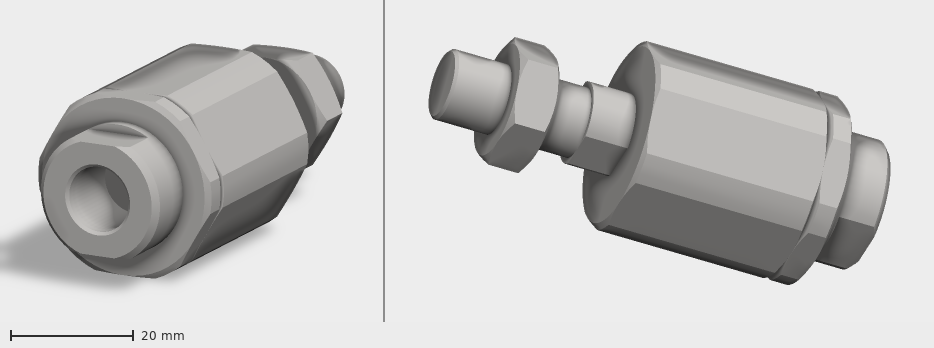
import cadquery as cq
import math


hex_across_flats = 30.0
hex_corner_diameter = 32.0
flange_start = 9.0
housing_groove = 13.3
housing_end = 44.0
hex_chamfer_angle = 30.0

boss_diameter = 22.0
boss_across_flats = 19.0
boss_flat_length = 7.2
boss_chamfer = 1.0
bore_diameter = 11.0
bore_depth = 13.0
bore_chamfer = 0.5

stud_diameter = 12.0
stud_chamfer = 0.5
stud_end = 75.5
collar_diameter = 14.0
collar_across_flats = stud_diameter
collar_length = 7.5

nut_across_flats = 19.0
nut_thickness = 7.0
nut_start = 58.7


def cylinder_y(diameter, start, end):
    """Cylinder on the Y axis between two Y positions."""
    return cq.Workplane("XZ", origin=(0, start, 0)).circle(diameter / 2).extrude(start - end)


def hexagon_diameter(across_flats):
    """Diameter through the corners of a sharp hexagon."""
    return across_flats / math.cos(math.radians(30))


def turned_hexagon(across_flats, corner_diameter, start, end):
    """Hexagonal prism, flats facing +Z and -Z, with its corners turned and both ends chamfered."""
    face_radius = across_flats / 2
    corner_radius = corner_diameter / 2
    bevel = (corner_radius - face_radius) * math.tan(math.radians(hex_chamfer_angle))
    prism = (
        cq.Workplane("XZ", origin=(0, start, 0))
        .polygon(6, hexagon_diameter(across_flats))
        .extrude(start - end)
    )
    turned_blank = (
        cq.Workplane("XY")
        .moveTo(0, start)
        .lineTo(face_radius, start)
        .lineTo(corner_radius, start + bevel)
        .lineTo(corner_radius, end - bevel)
        .lineTo(face_radius, end)
        .lineTo(0, end)
        .close()
        .revolve(360, (0, 0, 0), (0, 1, 0))
    )
    return prism.intersect(turned_blank)


def cut_to_flats(body, across_flats, diameter, start, end):
    """Cut two flats facing +Z and -Z on a round body between two Y positions."""
    length = end - start
    middle = (start + end) / 2
    keep = cq.Workplane("XY").box(diameter, length, across_flats)
    waste = cq.Workplane("XY").box(diameter, length, diameter).cut(keep)
    return body.cut(waste.translate((0, middle, 0)))


def make_housing():
    """Hexagonal case with a V groove, a thin hexagonal flange and a bored boss with two flats."""
    case = turned_hexagon(hex_across_flats, hex_corner_diameter, housing_groove, housing_end)
    flange = turned_hexagon(hex_across_flats, hex_corner_diameter, flange_start, housing_groove)

    boss = cylinder_y(boss_diameter, 0, flange_start).faces("<Y").chamfer(boss_chamfer)
    boss = cut_to_flats(boss, boss_across_flats, boss_diameter, 0, boss_flat_length)

    bore = cylinder_y(bore_diameter, 0, bore_depth)
    mouth_radius = bore_diameter / 2 + bore_chamfer
    bore_mouth = (
        cq.Workplane("XY")
        .lineTo(mouth_radius, 0)
        .lineTo(mouth_radius - bore_chamfer, bore_chamfer)
        .lineTo(0, bore_chamfer)
        .close()
        .revolve(360, (0, 0, 0), (0, 1, 0))
    )
    return case.union(flange).union(boss).cut(bore).cut(bore_mouth)


def make_stud():
    """Round stud with a flatted collar seated against the housing."""
    collar_end = housing_end + collar_length
    collar = cylinder_y(collar_diameter, housing_end, collar_end)
    collar = cut_to_flats(collar, collar_across_flats, collar_diameter, housing_end, collar_end)
    shank = cylinder_y(stud_diameter, collar_end, stud_end).faces(">Y").chamfer(stud_chamfer)
    return collar.union(shank)


def make_lock_nut():
    """Hexagonal nut, chamfered on both faces, with a hole that fits the stud."""
    nut_end = nut_start + nut_thickness
    nut_corner_diameter = hexagon_diameter(nut_across_flats)
    nut = turned_hexagon(nut_across_flats, nut_corner_diameter, nut_start, nut_end)
    return nut.cut(cylinder_y(stud_diameter, nut_start, nut_end))


housing = make_housing()
stud = make_stud()
lock_nut = make_lock_nut()

result = cq.Compound.makeCompound([body.solids().val() for body in (housing, stud, lock_nut)])